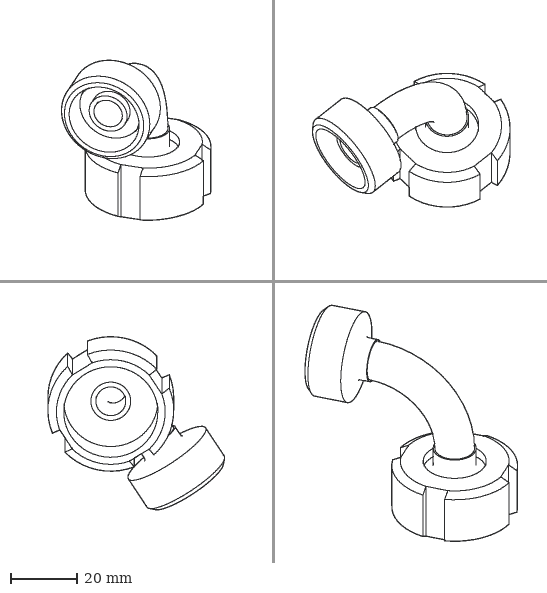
import cadquery as cq
import math

pipe_outer_diameter = 12.0
pipe_bore_diameter = 9.0
bend_radius = 25.9

collar_radius = 13.0 / 2
collar_fillet = 1.5

fitting_radius = 28.0 / 2
fitting_face_radius = 25.1 / 2
fitting_chamfer_length = 1.5
fitting_rim_length = 12.0
fitting_length = 17.6
fitting_back_angle = math.radians(10)
seat_floor_radius = 19.8 / 2
seat_mouth_radius = 22.1 / 2
seat_cone_depth = 4.0
seat_depth = 7.0

nut_radius = 38.0 / 2
nut_height = 18.0
nut_chamfer_height = 1.5
nut_chamfer_width = nut_chamfer_height / math.tan(math.radians(30))
nut_hole_diameter = 19.0
nut_bore_diameter = 28.4
nut_web_thickness = 3.0
slot_width = 7.0
slot_floor_distance = 16.0
slot_count = 4

liner_top = 22.6
liner_flange_thickness = 3.0

overall_height = 62.5
pipe_axis_height = overall_height - fitting_radius
bend_start_height = pipe_axis_height - bend_radius
fitting_face_y = -bend_radius - fitting_length
flange_top = nut_height - nut_web_thickness
flange_bottom = flange_top - liner_flange_thickness
pipe_end_y = fitting_face_y + seat_cone_depth


def make_pipe():
    """Bent tube from the liner flange to the foot of the fitting seat cone."""
    path = (
        cq.Workplane("YZ")
        .moveTo(0, flange_bottom)
        .lineTo(0, bend_start_height)
        .radiusArc((-bend_radius, pipe_axis_height), -bend_radius)
        .lineTo(pipe_end_y, pipe_axis_height)
    )
    section = (
        cq.Workplane("XY", origin=(0, 0, flange_bottom))
        .circle(pipe_outer_diameter / 2)
        .circle(pipe_bore_diameter / 2)
    )
    return section.sweep(path)


def make_fitting():
    """Revolved fitting; profile is (radius, distance behind the front face)."""
    pipe_radius = pipe_outer_diameter / 2

    corner = fitting_rim_length + (fitting_radius - collar_radius) * math.tan(fitting_back_angle)
    turn = math.pi / 2 - fitting_back_angle
    tangent_length = collar_fillet * math.tan(turn / 2)
    fillet_start = (
        collar_radius + tangent_length * math.cos(fitting_back_angle),
        corner - tangent_length * math.sin(fitting_back_angle),
    )
    fillet_end = (collar_radius, corner + tangent_length)
    fillet_middle = (
        collar_radius + collar_fillet * (1 - math.cos(turn / 2)),
        fillet_end[1] - collar_fillet * math.sin(turn / 2),
    )
    profile = (
        cq.Workplane("XY")
        .moveTo(seat_mouth_radius, 0)
        .lineTo(fitting_face_radius, 0)
        .lineTo(fitting_radius, fitting_chamfer_length)
        .lineTo(fitting_radius, fitting_rim_length)
        .lineTo(*fillet_start)
        .threePointArc(fillet_middle, fillet_end)
        .lineTo(collar_radius, fitting_length)
        .lineTo(pipe_radius, fitting_length)
        .lineTo(pipe_radius, seat_depth)
        .lineTo(seat_floor_radius, seat_depth)
        .lineTo(seat_floor_radius, seat_cone_depth)
        .close()
    )
    body = profile.revolve(360, (0, 0, 0), (0, 1, 0))
    return body.translate((0, fitting_face_y, pipe_axis_height))


def make_liner():
    """Flanged sleeve around the pipe, its flange sitting under the nut web."""
    flange = (
        cq.Workplane("XY", origin=(0, 0, flange_bottom))
        .circle(nut_bore_diameter / 2)
        .extrude(liner_flange_thickness)
    )
    collar = (
        cq.Workplane("XY", origin=(0, 0, flange_bottom))
        .circle(collar_radius)
        .extrude(liner_top - flange_bottom)
    )
    foot_of_collar = cq.selectors.RadiusNthSelector(0)
    blended = (
        flange.union(collar)
        .faces(cq.selectors.NearestToPointSelector((0, nut_bore_diameter / 3, flange_top)))
        .edges(foot_of_collar)
        .fillet(collar_fillet)
    )
    pipe_hole = (
        cq.Workplane("XY", origin=(0, 0, flange_bottom))
        .circle(pipe_outer_diameter / 2)
        .extrude(liner_top - flange_bottom)
    )
    return blended.cut(pipe_hole)


def make_nut():
    """Round nut with chamfered ends, a stepped bore and wrench slots."""
    nut = (
        cq.Workplane("XY")
        .circle(nut_radius)
        .extrude(nut_height)
        .faces("<Z or >Z")
        .chamfer(nut_chamfer_height, nut_chamfer_width)
    )
    web_hole = cq.Workplane("XY").circle(nut_hole_diameter / 2).extrude(nut_height)
    lower_bore = cq.Workplane("XY").circle(nut_bore_diameter / 2).extrude(flange_top)
    nut = nut.cut(web_hole).cut(lower_bore)

    slots = (
        cq.Workplane("XY")
        .polarArray(slot_floor_distance + nut_radius / 2, 0, 360, slot_count)
        .rect(nut_radius, slot_width)
        .extrude(nut_height)
    )
    return nut.cut(slots)


pipe = make_pipe()
fitting = make_fitting()
liner = make_liner()
nut = make_nut()

result = cq.Compound.makeCompound([pipe.val(), fitting.val(), liner.val(), nut.val()])